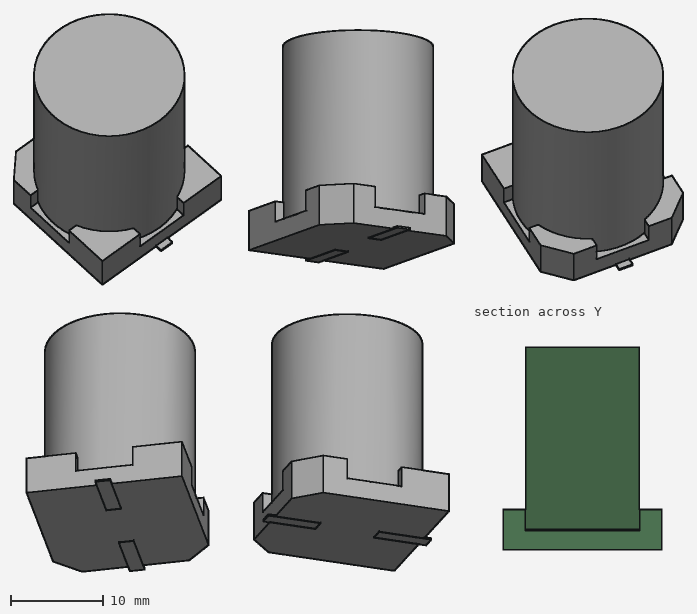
import cadquery as cq

total_height = 22.05
lead_span = 18.8

base_side = 17.2
base_top = 4.45
corner_cut = 2.7
notch_width = 6.28
floor_height = 2.18

can_diameter = 16.35
can_gap = 0.1

lead_width = 1.65
lead_length = 6.02
lead_thickness = 0.2
lead_standoff = 0.07


def make_can():
    """Plain cylinder held by the corner walls, just above the tray floor."""
    can_bottom = floor_height + can_gap
    return (
        cq.Workplane("XY")
        .workplane(offset=can_bottom)
        .circle(can_diameter / 2)
        .extrude(total_height - can_bottom)
    )


def make_lead(side):
    """Flat strip under the base; side is -1 for -X and +1 for +X."""
    center_x = side * (lead_span - lead_length) / 2
    return (
        cq.Workplane("XY")
        .center(center_x, 0)
        .rect(lead_length, lead_width)
        .extrude(lead_thickness)
    )


def make_base(leads):
    """Square tray with four raised corners, a round seat and lead recesses."""
    wall_height = base_top - floor_height
    base = (
        cq.Workplane("XY")
        .workplane(offset=lead_standoff)
        .rect(base_side, base_side)
        .extrude(base_top - lead_standoff)
        .edges("|Z and <X")
        .chamfer(corner_cut)
    )
    opening = (
        cq.Workplane("XY")
        .workplane(offset=floor_height)
        .circle(can_diameter / 2)
        .extrude(wall_height)
    )
    base = base.cut(opening)
    for size_x, size_y in ((base_side, notch_width), (notch_width, base_side)):
        notch = (
            cq.Workplane("XY")
            .workplane(offset=floor_height)
            .rect(size_x, size_y)
            .extrude(wall_height)
        )
        base = base.cut(notch)
    for lead in leads:
        base = base.cut(lead)
    return base


can = make_can()
leads = [make_lead(side) for side in (-1, 1)]
base = make_base(leads)

result = cq.Compound.makeCompound([base.val(), can.val(), *[lead.val() for lead in leads]])